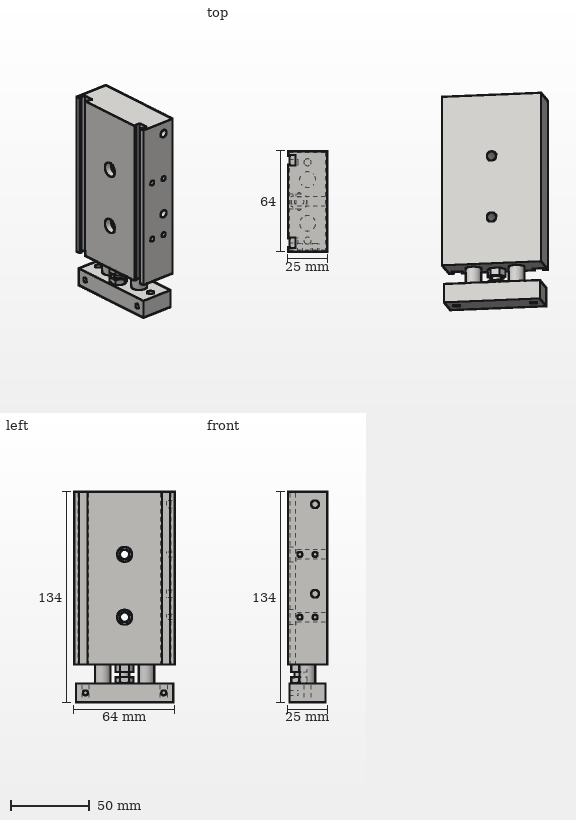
import cadquery as cq
import math

housing_thickness = 25.0
housing_width = 64.0
total_height = 134.0
housing_bottom = 24.0
housing_height = total_height - housing_bottom
center_x = housing_thickness / 2

slot_opening_width = 5.2
slot_inner_width = 6.7
slot_lip = 1.5
slot_depth = 5.0
slot_offset_y = 26.3

mount_hole_diameter = 6.0
counterbore_diameter = 9.5
counterbore_depth = 5.1
mount_lower_z = 54.1
mount_pitch = 39.9
mount_levels = (mount_lower_z, mount_lower_z + mount_pitch)

side_hole_diameter = 3.2
side_hole_depth = 5.4
side_hole_inner_x = 17.3
side_hole_outer_x = 7.6
port_diameter = 5.0
port_depth = 5.4
port_levels = (69.0, 126.0)

plate_thickness = 23.0
plate_width = 62.0
plate_height = 12.0
plate_hole_offset_y = 24.9
plate_face_hole_diameter = 3.2
plate_face_hole_depth = 5.4
plate_top_hole_diameter = 4.5
rod_diameter = 10.0
rod_offset_y = 14.0

bolt_x = 7.1
hex_across_flats = 10.0
hex_across_corners = hex_across_flats / math.cos(math.pi / 6)
shank_diameter = 6.0
nut_top = 16.1
head_bottom = 19.2
nut_chamfer_height = 0.5
nut_chamfer_width = 1.0


def cylinder_x(diameter, start_x, length, y, z):
    """Cylinder running in +X from start_x."""
    return cq.Workplane("YZ", origin=(start_x, y, z)).circle(diameter / 2).extrude(length)


def cylinder_z(diameter, bottom, top, x, y):
    """Upright cylinder between two heights."""
    return cq.Workplane("XY", origin=(x, y, bottom)).circle(diameter / 2).extrude(top - bottom)


def side_hole(diameter, depth, x, z):
    """Blind hole cutter entering the -Y side of the housing."""
    start = (x, -housing_width / 2, z)
    return cq.Workplane("XZ", origin=start).circle(diameter / 2).extrude(-depth)


def t_slot(y):
    """Full-height cutter with a narrow opening and a wider inner channel."""
    base = cq.Workplane("XY", origin=(0, y, housing_bottom))
    opening = base.rect(2 * slot_depth, slot_opening_width).extrude(housing_height)
    channel = (
        base.center((slot_lip + slot_depth) / 2, 0)
        .rect(slot_depth - slot_lip, slot_inner_width)
        .extrude(housing_height)
    )
    return opening.union(channel)


def make_housing():
    body = cq.Workplane("XY", origin=(center_x, 0, housing_bottom))
    body = body.rect(housing_thickness, housing_width).extrude(housing_height)
    for side in (-1, 1):
        body = body.cut(t_slot(side * slot_offset_y))
    for z in mount_levels:
        body = body.cut(cylinder_x(mount_hole_diameter, 0, housing_thickness, 0, z))
        body = body.cut(cylinder_x(counterbore_diameter, 0, counterbore_depth, 0, z))
        for x in (side_hole_outer_x, side_hole_inner_x):
            body = body.cut(side_hole(side_hole_diameter, side_hole_depth, x, z))
    for z in port_levels:
        body = body.cut(side_hole(port_diameter, port_depth, side_hole_inner_x, z))
    return body


def make_plate_with_rods():
    body = cq.Workplane("XY", origin=(center_x, 0, 0))
    body = body.rect(plate_thickness, plate_width).extrude(plate_height)
    plate_face_x = center_x - plate_thickness / 2
    for side in (-1, 1):
        rod = cylinder_z(rod_diameter, plate_height, housing_bottom, center_x, side * rod_offset_y)
        hole_y = side * plate_hole_offset_y
        face_hole = cylinder_x(
            plate_face_hole_diameter, plate_face_x, plate_face_hole_depth, hole_y, plate_height / 2
        )
        top_hole = cylinder_z(plate_top_hole_diameter, 0, plate_height, center_x, hole_y)
        body = body.union(rod).cut(face_hole).cut(top_hole)
    return body


def hex_prism(bottom, top):
    """Upright hexagon on the bolt axis with two flats facing along X."""
    base = cq.Workplane("XY", origin=(bolt_x, 0, bottom))
    return base.transformed(rotate=(0, 0, 90)).polygon(6, hex_across_corners).extrude(top - bottom)


def make_lock_nut():
    """Hexagon with its lower corners turned down to a cone."""
    corner_radius = hex_across_corners / 2
    blank = (
        cq.Workplane("XZ", origin=(bolt_x, 0, 0))
        .moveTo(0, plate_height)
        .lineTo(corner_radius - nut_chamfer_width, plate_height)
        .lineTo(corner_radius, plate_height + nut_chamfer_height)
        .lineTo(corner_radius, nut_top)
        .lineTo(0, nut_top)
        .close()
        .revolve(360, (0, 0, 0), (0, 1, 0))
    )
    return hex_prism(plate_height, nut_top).intersect(blank)


def make_stop_bolt():
    shank = cylinder_z(shank_diameter, nut_top, head_bottom, bolt_x, 0)
    head = hex_prism(head_bottom, housing_bottom)
    return make_lock_nut().union(shank).union(head)


housing = make_housing()
plate_with_rods = make_plate_with_rods()
stop_bolt = make_stop_bolt()
result = cq.Compound.makeCompound([housing.val(), plate_with_rods.val(), stop_bolt.val()])